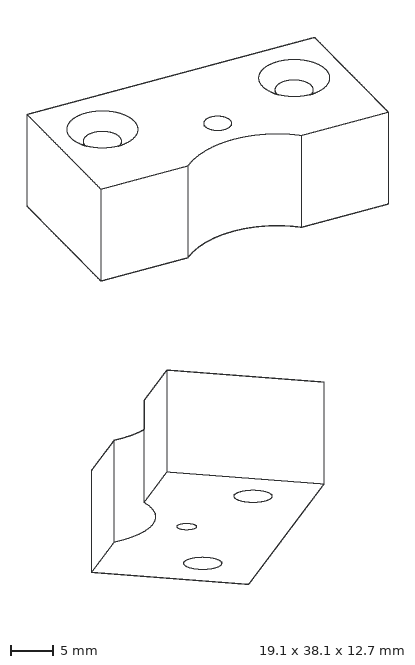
import cadquery as cq

width = 19.05
length = 38.1
height = 12.7

screw_x = 7.1
screw_spacing = 25.4
screw_diameter = 4.5
sink_diameter = 8.4
sink_angle = 100.0

centre_x = 12.08
wide_diameter = 3.28
narrow_diameter = 2.32
wide_depth = height / 2

relief_radius = 11.28
relief_depth = 2.9


def make_block():
    return cq.Workplane("XY").box(width, length, height, centered=(False, True, False))


def cut_screw_holes(body):
    spots = [(screw_x, side * screw_spacing / 2) for side in (-1, 1)]
    top = cq.Workplane("XY", origin=(0, 0, height)).add(body)
    return top.pushPoints(spots).cskHole(screw_diameter, sink_diameter, sink_angle)


def cut_centre_hole(body):
    top = cq.Workplane("XY", origin=(0, 0, height)).add(body)
    return top.pushPoints([(centre_x, 0)]).cboreHole(narrow_diameter, wide_diameter, wide_depth)


def cut_relief(body):
    relief_centre_x = width - relief_depth + relief_radius
    relief = cq.Workplane("XY").center(relief_centre_x, 0).circle(relief_radius).extrude(height)
    return body.cut(relief)


block = make_block()
block = cut_screw_holes(block.val())
block = cut_centre_hole(block.val())
result = cut_relief(block)